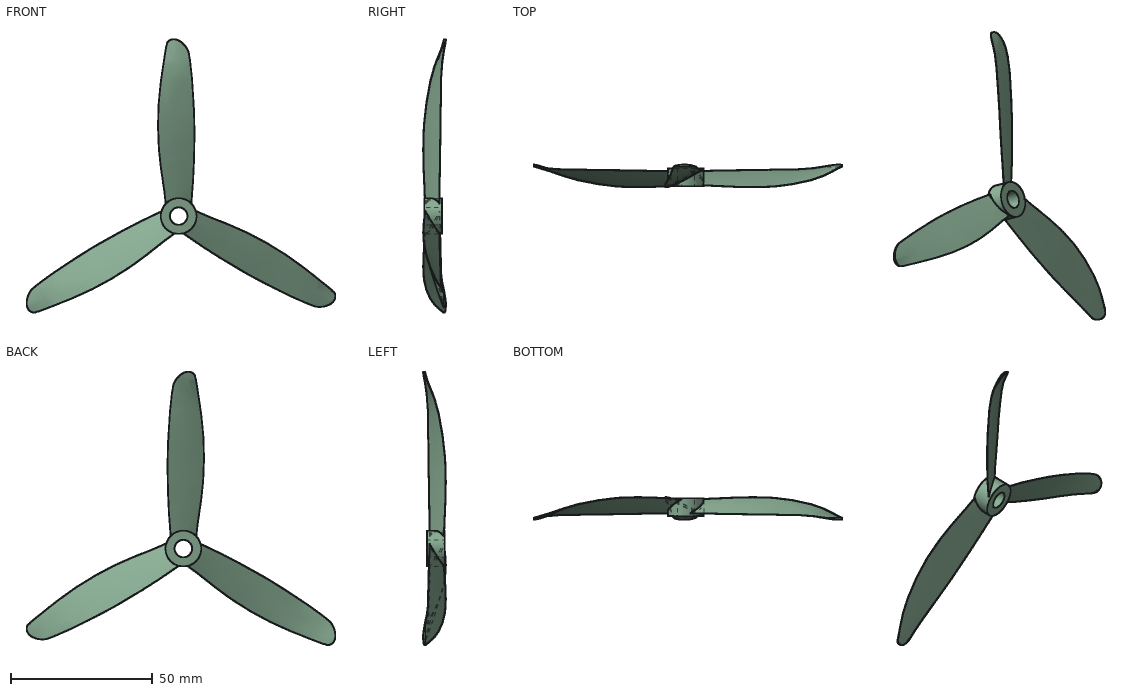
import cadquery as cq
import math

BLADE_COUNT = 3
BLADE_PITCH_ANGLE = 360 / BLADE_COUNT

HUB_DIAMETER = 12.7
HUB_LENGTH = 6.3
BORE_DIAMETER = 6.1

BLADE_THICKNESS = 0.8
EDGE_THICKNESS = 0.2

BLADE_STATIONS = [
    (4.4, -4.6, -2.8, 4.5, 2.3),
    (11.5, -5.5, -3.2, 5.0, 2.3),
    (17.5, -6.3, -3.4, 5.3, 2.4),
    (25.3, -7.1, -3.5, 5.6, 2.5),
    (33.2, -7.3, -3.2, 5.6, 2.6),
    (41.2, -7.0, -2.2, 5.2, 2.7),
    (49.0, -6.1, -0.7, 4.7, 2.8),
    (54.9, -5.2, 1.2, 4.0, 3.3),
    (62.5, -3.9, 4.0, 3.0, 4.4),
]

TIP_RADIUS = BLADE_STATIONS[-1][0]
TIP_START = 54.6
TIP_HALF_WIDTH = 10.9
TIP_CURVE = [(4.0, TIP_START), (3.2, 58.8), (1.7, 60.8), (-2.1, TIP_RADIUS), (-3.6, 61.9), (-4.3, 60.3)]
MASK_DEPTH = 21.8


def blade_section(radius, lead_x, lead_y, trail_x, trail_y):
    """Closed lens-shaped wire across the blade at one radius."""
    chord_x = trail_x - lead_x
    chord_y = trail_y - lead_y
    chord = math.hypot(chord_x, chord_y)
    normal = cq.Vector(-chord_y / chord, chord_x / chord, 0)
    lead = cq.Vector(lead_x, lead_y, radius)
    trail = cq.Vector(trail_x, trail_y, radius)
    middle = (lead + trail) * 0.5
    edge_offset = normal * (EDGE_THICKNESS / 2)
    middle_offset = normal * (BLADE_THICKNESS / 2)
    back = cq.Edge.makeThreePointArc(lead + edge_offset, middle + middle_offset, trail + edge_offset)
    trailing = cq.Edge.makeLine(trail + edge_offset, trail - edge_offset)
    front = cq.Edge.makeThreePointArc(trail - edge_offset, middle - middle_offset, lead - edge_offset)
    leading = cq.Edge.makeLine(lead - edge_offset, lead + edge_offset)
    return cq.Wire.assembleEdges([back, trailing, front, leading])


def tip_mask():
    """Prism that keeps the whole blade but rounds its tip."""
    return (
        cq.Workplane("XZ")
        .moveTo(-TIP_HALF_WIDTH, 0)
        .lineTo(TIP_HALF_WIDTH, 0)
        .lineTo(TIP_HALF_WIDTH, TIP_START)
        .lineTo(*TIP_CURVE[0])
        .spline(TIP_CURVE[1:], includeCurrent=True)
        .lineTo(-TIP_HALF_WIDTH, TIP_START)
        .close()
        .extrude(MASK_DEPTH / 2, both=True)
    )


def make_blade():
    sections = [blade_section(*station) for station in BLADE_STATIONS]
    return cq.Workplane(cq.Solid.makeLoft(sections)).intersect(tip_mask())


def hub_cylinder(diameter):
    return cq.Workplane("XZ").circle(diameter / 2).extrude(HUB_LENGTH / 2, both=True)


propeller = hub_cylinder(HUB_DIAMETER)
blade = make_blade()
for index in range(BLADE_COUNT):
    propeller = propeller.union(blade.rotate((0, 0, 0), (0, 1, 0), index * BLADE_PITCH_ANGLE))

result = propeller.cut(hub_cylinder(BORE_DIAMETER))